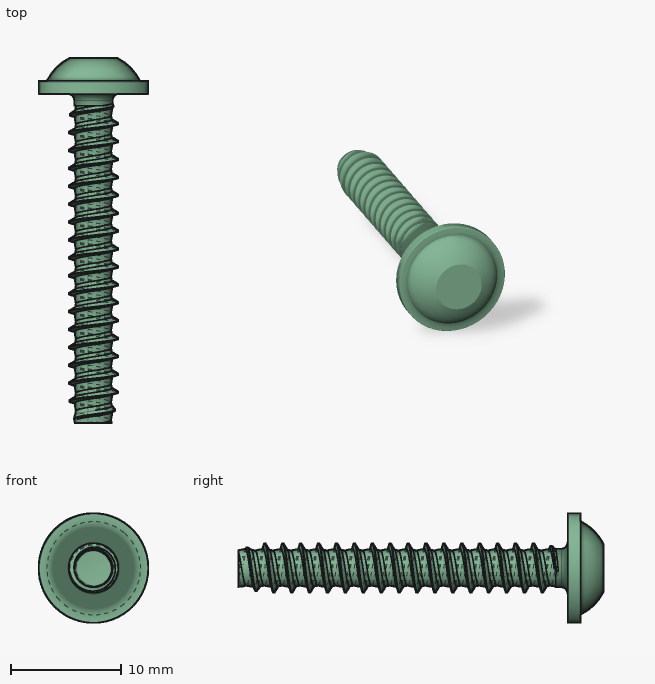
import cadquery as cq
import math


TOTAL_LENGTH = 33.2
FLANGE_RADIUS = 4.995

HEAD_HEIGHT = 3.3
FLANGE_THICKNESS = 1.2
FLANGE_ROUNDING = 0.05
DOME_TOP_RADIUS = 2.15
DOME_BASE_RADIUS = 4.25

NECK_RADIUS = 1.75
NECK_LENGTH = 1.05
NECK_FILLET = 0.55
TIP_DIMPLE_RADIUS = 1.6
TIP_DIMPLE_DEPTH = 0.13
TIP_Y = HEAD_HEIGHT - TOTAL_LENGTH

PITCH = 1.63
ROOT_RADIUS = 1.61
ROOT_OFFSET = 0.73
KNEE_RADIUS = 1.7
KNEE_OFFSET = 0.35
CREST_RADIUS = 2.25
CREST_WIDTH = 0.05
FOOT_RADIUS = 1.743
FOOT_OFFSET = 0.15
CREST_START_Y = -1.05
FIRST_TURN = -0.7
TURN_COUNT = 19
LOW_CREST_RADIUS = 1.73
RISE_START_TURN = -0.1
RISE_TURNS = 1.0
FALL_END_TURN = 17.6
FALL_TURNS = 1.2
STEPS_PER_TURN = 16


def make_head():
    """Flange with a spherical dome that is cut flat on top."""
    dome_height = HEAD_HEIGHT - FLANGE_THICKNESS
    sphere_centre = (DOME_TOP_RADIUS**2 + dome_height**2 - DOME_BASE_RADIUS**2) / (2 * dome_height)
    sphere_radius = math.hypot(DOME_BASE_RADIUS, sphere_centre)
    middle_height = dome_height / 2
    middle_radius = math.sqrt(sphere_radius**2 - (middle_height - sphere_centre) ** 2)

    flange = cq.Workplane("XZ").circle(FLANGE_RADIUS).extrude(-FLANGE_THICKNESS)
    flange = flange.edges().fillet(FLANGE_ROUNDING)
    dome = (
        cq.Workplane("ZY")
        .lineTo(DOME_BASE_RADIUS, 0)
        .threePointArc((middle_radius, middle_height), (DOME_TOP_RADIUS, dome_height))
        .lineTo(0, dome_height)
        .close()
        .revolve(360, (0, 0), (0, 1))
        .translate((0, FLANGE_THICKNESS, 0))
    )
    return flange.union(dome)


def make_neck():
    """Plain cylinder that flares into the flange with a fillet."""
    fillet_reach = NECK_FILLET * (1 - math.sqrt(0.5))
    return (
        cq.Workplane("ZY")
        .lineTo(NECK_RADIUS + NECK_FILLET, 0)
        .threePointArc((NECK_RADIUS + fillet_reach, -fillet_reach), (NECK_RADIUS, -NECK_FILLET))
        .lineTo(NECK_RADIUS, -NECK_LENGTH)
        .lineTo(0, -NECK_LENGTH)
        .close()
        .revolve(360, (0, 0), (0, 1))
    )


def crest_radius_at(turn):
    """Crest radius, rising quickly near the neck and falling evenly near the tip."""
    still_to_rise = min(1.0, max(0.0, 1 - (turn - RISE_START_TURN) / RISE_TURNS))
    still_to_fall = min(1.0, max(0.0, (FALL_END_TURN - turn) / FALL_TURNS))
    share = min(1 - still_to_rise**2, still_to_fall)
    return LOW_CREST_RADIUS + share * (CREST_RADIUS - LOW_CREST_RADIUS)


def thread_section(turn):
    """Points over one pitch, from the axis out to the surface and back, at one turn angle."""
    crest_radius = crest_radius_at(turn)
    next_root_offset = ROOT_OFFSET - PITCH
    radii_and_offsets = [
        (0, ROOT_OFFSET),
        (ROOT_RADIUS, ROOT_OFFSET),
        (KNEE_RADIUS, KNEE_OFFSET),
        (crest_radius, CREST_WIDTH / 2),
        (crest_radius, -CREST_WIDTH / 2),
        (FOOT_RADIUS, -FOOT_OFFSET),
        (ROOT_RADIUS, next_root_offset),
        (0, next_root_offset),
    ]
    angle = 2 * math.pi * turn
    crest_y = CREST_START_Y - PITCH * turn
    return [
        cq.Vector(radius * math.cos(angle), crest_y + offset, radius * math.sin(angle))
        for radius, offset in radii_and_offsets
    ]


def turn_edges(first_turn):
    """One edge per section point, following the section through a full turn."""
    turns = [first_turn + step / STEPS_PER_TURN for step in range(STEPS_PER_TURN + 1)]
    axis_top, *helices, axis_bottom = zip(*[thread_section(turn) for turn in turns])
    return [
        cq.Edge.makeLine(axis_top[0], axis_top[-1]),
        *[cq.Edge.makeSpline(list(helix), parameters=turns) for helix in helices],
        cq.Edge.makeLine(axis_bottom[0], axis_bottom[-1]),
    ]


def make_threaded_bar():
    """Solid threaded bar: ruled faces turn by turn, closed by a helical ramp at each end."""
    faces = []
    for turn_index in range(TURN_COUNT):
        edges = turn_edges(FIRST_TURN + turn_index)
        strips = list(zip(edges, edges[1:]))
        head_ramp, *surface, tip_ramp = strips
        if turn_index == 0:
            surface.append(head_ramp)
        if turn_index == TURN_COUNT - 1:
            surface.append(tip_ramp)
        faces += [cq.Face.makeRuledSurface(first, second) for first, second in surface]
    for end_turn in (FIRST_TURN, FIRST_TURN + TURN_COUNT):
        faces.append(cq.Face.makeFromWires(cq.Wire.makePolygon(thread_section(end_turn), close=True)))
    return cq.Workplane(cq.Solid.makeSolid(cq.Shell.makeShell(faces)))


def make_tip_cutter():
    """Everything beyond the flat tip, domed to leave a shallow spherical dimple."""
    dome_radius = (TIP_DIMPLE_RADIUS**2 + TIP_DIMPLE_DEPTH**2) / (2 * TIP_DIMPLE_DEPTH)
    dome_centre_y = TIP_Y + TIP_DIMPLE_DEPTH - dome_radius
    beyond_tip = cq.Workplane("XZ", origin=(0, TIP_Y, 0)).circle(FLANGE_RADIUS).extrude(2 * PITCH)
    dome = cq.Workplane("XY").sphere(dome_radius).translate((0, dome_centre_y, 0))
    return beyond_tip.union(dome)


threaded_shank = make_threaded_bar().cut(make_tip_cutter())
result = make_head().union(make_neck()).union(threaded_shank)